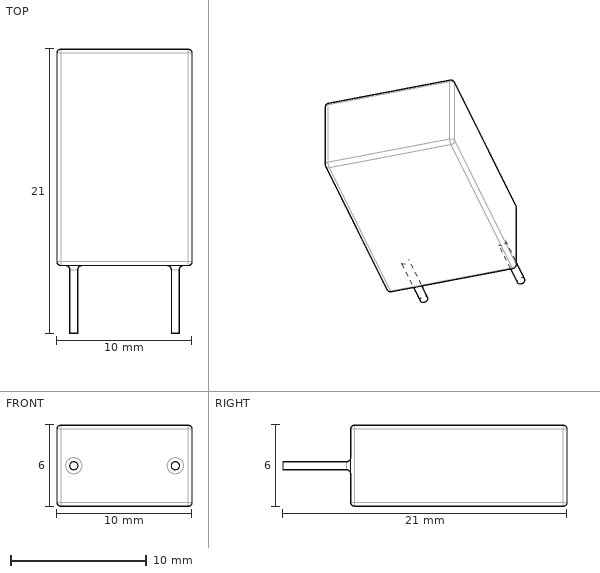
import cadquery as cq

body_width = 10.0
body_length = 16.0
body_height = 6.0
edge_radius = 0.3

lead_diameter = 0.6
lead_length = 5.0
lead_pitch = 7.5
root_radius = 0.3

lead_radius = lead_diameter / 2
front_face_y = -body_length / 2


def make_body():
    """Block centred on the origin, rounded on every edge."""
    return cq.Workplane("XY").box(body_width, body_length, body_height).edges().fillet(edge_radius)


def make_lead(x):
    """Lead with a flared root, revolved about its axis parallel to Y at the given X."""
    flare_radius = lead_radius + root_radius
    embed_y = front_face_y + edge_radius
    root_y = front_face_y - root_radius
    tip_y = front_face_y - lead_length
    arc_centre = (flare_radius, root_y)
    diagonal = root_radius * 0.5**0.5
    arc_middle = (arc_centre[0] - diagonal, arc_centre[1] + diagonal)
    profile = (
        cq.Workplane("XY")
        .moveTo(0, tip_y)
        .lineTo(lead_radius, tip_y)
        .lineTo(lead_radius, root_y)
        .threePointArc(arc_middle, (flare_radius, front_face_y))
        .lineTo(flare_radius, embed_y)
        .lineTo(0, embed_y)
        .close()
    )
    return profile.revolve(360, (0, 0, 0), (0, 1, 0)).translate((x, 0, 0))


result = make_body()
for side in (-1, 1):
    result = result.union(make_lead(side * lead_pitch / 2))